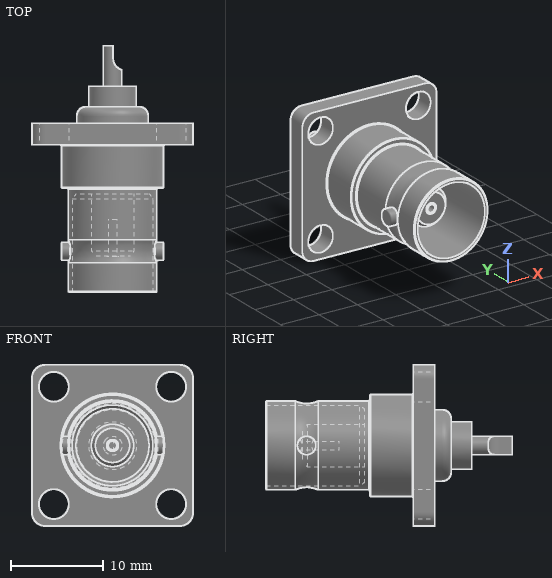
import cadquery as cq
import math

total_length = 26.7
edge_break = 0.1

flange_side = 17.5
flange_thickness = 2.35
flange_corner_radius = 1.47
mounting_hole_diameter = 3.2
mounting_hole_spacing = 12.7

collar_radius = 11.08 / 2
collar_length = 4.7
collar_edge_break = 0.08
shell_radius = 9.65 / 2
shell_length = 15.97
bore_radius = 8.75 / 2
bore_floor_radius = 7.93 / 2
bore_depth = 10.68
cone_length = 0.53

groove_y = -11.53
groove_half_width = 1.23
groove_depth = 0.27
stud_diameter = 2.0
stud_span = 11.08
stud_fillet = 0.2

insulator_radius = 4.6 / 2
insulator_tip_radius = 3.7 / 2
insulator_recess = 3.95
insulator_taper_length = 0.53
contact_radius = 1.28 / 2
contact_protrusion = 0.05
socket_diameter = 0.93
socket_depth = 4.0

dome_radius = 7.77 / 2
dome_end_y = 4.15
dome_fillet = 1.01
sleeve_radius = 5.18 / 2
sleeve_end_y = 6.35
pin_radius = 2.03 / 2
pin_end_y = total_length - shell_length
pin_flat_x = 0.08
pin_flat_length = 1.35
pin_cutter_radius = 1.3


def cylinder(radius, y_start, y_end):
    """Cylinder on the connector axis between two Y positions."""
    return cq.Workplane("XZ", origin=(0, y_start, 0)).circle(radius).extrude(y_start - y_end)


def revolve_about_y(profile):
    """Full turn of an XY profile about the connector axis."""
    return profile.close().revolve(360, (0, 0, 0), (0, 1, 0))


def make_flange():
    flange = (
        cq.Workplane("XZ")
        .rect(flange_side, flange_side)
        .extrude(-flange_thickness)
        .edges("|Y")
        .fillet(flange_corner_radius)
    )
    holes = (
        cq.Workplane("XZ")
        .rect(mounting_hole_spacing, mounting_hole_spacing, forConstruction=True)
        .vertices()
        .circle(mounting_hole_diameter / 2)
        .extrude(-flange_thickness)
    )
    return flange.cut(holes)


def make_barrel():
    """Solid collar and shell, with small root flares, edge breaks and the bayonet groove."""
    return revolve_about_y(
        cq.Workplane("XY")
        .moveTo(0, 0)
        .lineTo(collar_radius + edge_break, 0)
        .lineTo(collar_radius, -edge_break)
        .lineTo(collar_radius, collar_edge_break - collar_length)
        .lineTo(collar_radius - collar_edge_break, -collar_length)
        .lineTo(shell_radius + edge_break, -collar_length)
        .lineTo(shell_radius, -collar_length - edge_break)
        .lineTo(shell_radius, groove_y + groove_half_width)
        .threePointArc(
            (shell_radius - groove_depth, groove_y),
            (shell_radius, groove_y - groove_half_width),
        )
        .lineTo(shell_radius, edge_break - shell_length)
        .lineTo(shell_radius - edge_break, -shell_length)
        .lineTo(0, -shell_length)
    )


def make_bore():
    """Open bore that narrows in a cone to a flat floor."""
    floor_y = bore_depth - shell_length
    return revolve_about_y(
        cq.Workplane("XY")
        .moveTo(0, -shell_length)
        .lineTo(bore_radius, -shell_length)
        .lineTo(bore_radius, floor_y - cone_length)
        .lineTo(bore_floor_radius, floor_y)
        .lineTo(0, floor_y)
    )


def make_insulator():
    """Tapered insulator with the hollow contact standing just proud of its tip."""
    tip_y = insulator_recess - shell_length
    contact_tip_y = tip_y - contact_protrusion
    body = revolve_about_y(
        cq.Workplane("XY")
        .moveTo(0, 0)
        .lineTo(insulator_radius, 0)
        .lineTo(insulator_radius, tip_y + insulator_taper_length)
        .lineTo(insulator_tip_radius, tip_y)
        .lineTo(0, tip_y)
    )
    contact = cylinder(contact_radius, contact_tip_y, 0)
    socket = cylinder(socket_diameter / 2, contact_tip_y, contact_tip_y + socket_depth)
    return body.union(contact).cut(socket)


def make_stud(side):
    """Bayonet stud on the +X (side = 1) or -X (side = -1) flank of the shell."""
    wall_middle = (shell_radius + bore_radius) / 2
    return (
        cq.Workplane("YZ", origin=(side * wall_middle, groove_y, 0))
        .circle(stud_diameter / 2)
        .extrude(side * (stud_span / 2 - wall_middle))
        .faces(">X" if side > 0 else "<X").edges()
        .fillet(stud_fillet)
    )


def make_rear():
    """Rounded dome and sleeve behind the flange."""
    dome = cylinder(dome_radius, 0, dome_end_y).faces(">Y").edges().fillet(dome_fillet)
    return dome.union(cylinder(sleeve_radius, 0, sleeve_end_y))


def make_solder_pin():
    """Rear pin with its +X half cut away to a flat that ends in a concave arc."""
    flat_end_y = pin_end_y - pin_flat_length
    arc_centre_x = pin_flat_x + pin_cutter_radius
    diagonal = pin_cutter_radius * math.sqrt(0.5)
    cutter = (
        cq.Workplane("XY")
        .moveTo(pin_flat_x, pin_end_y)
        .lineTo(pin_flat_x, flat_end_y)
        .threePointArc(
            (arc_centre_x - diagonal, flat_end_y - diagonal),
            (arc_centre_x, flat_end_y - pin_cutter_radius),
        )
        .lineTo(arc_centre_x, pin_end_y)
        .close()
        .extrude(pin_radius, both=True)
    )
    return cylinder(pin_radius, 0, pin_end_y).cut(cutter)


result = make_barrel().cut(make_bore()).union(make_insulator())
for stud_side in (-1, 1):
    result = result.union(make_stud(stud_side))
result = result.union(make_flange()).union(make_rear()).union(make_solder_pin())